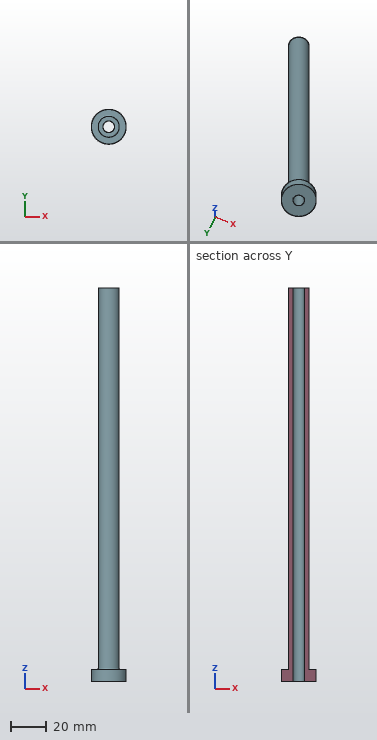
import cadquery as cq

total_length = 225.0
head_diameter = 20.0
head_height = 7.0
shaft_diameter = 12.0
bore_diameter = 6.5
neck_fillet_radius = 0.5


def make_head():
    return cq.Workplane("XY").circle(head_diameter / 2).extrude(head_height)


def make_shaft():
    return cq.Workplane("XY").circle(shaft_diameter / 2).extrude(total_length)


def make_bore():
    return cq.Workplane("XY").circle(bore_diameter / 2).extrude(total_length)


def fillet_neck(body):
    """Round the inner corner where the shaft meets the top of the head."""
    search_radius = (shaft_diameter + head_diameter) / 4
    neck_zone = cq.selectors.BoxSelector(
        (-search_radius, -search_radius, head_height - neck_fillet_radius),
        (search_radius, search_radius, head_height + neck_fillet_radius),
        boundingbox=True,
    )
    return body.edges("%CIRCLE").edges(neck_zone).fillet(neck_fillet_radius)


blank = fillet_neck(make_head().union(make_shaft()))
result = blank.cut(make_bore())